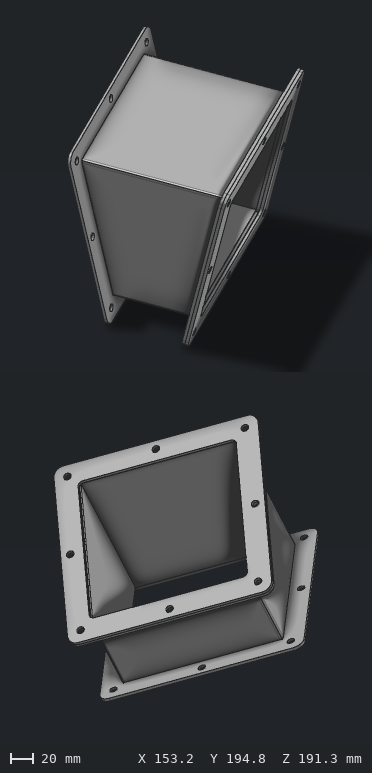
import cadquery as cq
import math

overall_width = 194.8
flange_offset = 1.0
inner_span = 106.3
tilt = math.radians(11.25)

plate_size = overall_width - flange_offset
plate_corner = 10.0
plate_thickness = 3.1
flange_opening_width = 150.8
flange_opening_height = 154.5
gasket_opening_size = 150.0
gasket_opening_corner = 5.0

hole_diameter = 6.8
corner_hole_reach = 84.1
side_hole_reach = 87.6

duct_inner = 150.0
wall = 1.4
duct_outer = duct_inner + 2 * wall
duct_corner = 2.7
duct_lift = 0.5

left_y = flange_offset / 2
right_y = -flange_offset / 2


def plate_plane(y, side, layer=0):
    """Base plane of a tilted plate, its normal outward: side -1 is left, +1 right; layers stack outward."""
    depth = layer * plate_thickness
    return cq.Plane(
        origin=(side * (inner_span / 2 + depth * math.cos(tilt)), y, -depth * math.sin(tilt)),
        xDir=(0, side, 0),
        normal=(side * math.cos(tilt), 0, -math.sin(tilt)),
    )


def plate_block(plane, width, height, corner=0.0):
    """Rectangular slab of plate thickness, with its four corners rounded if a radius is given."""
    block = cq.Workplane(plane).rect(width, height).extrude(plate_thickness)
    if corner:
        block = block.edges(cq.selectors.ParallelDirSelector(plane.zDir)).fillet(corner)
    return block


def bolt_holes(plane):
    """Cutter for the ring of eight bolt holes: four at the corners and four at mid side."""
    centres = []
    for side in (-1, 1):
        centres.append((side * corner_hole_reach, corner_hole_reach))
        centres.append((side * corner_hole_reach, -corner_hole_reach))
        centres.append((side * side_hole_reach, 0))
        centres.append((0, side * side_hole_reach))
    return cq.Workplane(plane).pushPoints(centres).circle(hole_diameter / 2).extrude(plate_thickness)


def make_plate(plane, opening_width, opening_height, opening_corner=0.0):
    """Square frame with rounded outer corners, a central opening and bolt holes."""
    plate = plate_block(plane, plate_size, plate_size, plate_corner)
    opening = plate_block(plane, opening_width, opening_height, opening_corner)
    return plate.cut(opening).cut(bolt_holes(plane))


def duct_prism(size):
    """Solid of square cross-section whose two ends lie on the flange inner faces."""
    bottom = duct_lift - size / 2
    top = duct_lift + size / 2
    bottom_x = inner_span / 2 + bottom * math.tan(tilt)
    top_x = inner_span / 2 + top * math.tan(tilt)
    return (
        cq.Workplane("XZ", origin=(0, left_y, 0))
        .polyline([(-bottom_x, bottom), (bottom_x, bottom), (top_x, top), (-top_x, top)])
        .close()
        .extrude(size / 2, both=True)
    )


def make_duct():
    """Tapered square tube with rounded long outer edges and sharp inner ones."""
    return duct_prism(duct_outer).edges("|X").fillet(duct_corner).cut(duct_prism(duct_inner))


left_flange = make_plate(plate_plane(left_y, -1), flange_opening_width, flange_opening_height)
right_flange = make_plate(plate_plane(right_y, 1), flange_opening_width, flange_opening_height)
gasket = make_plate(
    plate_plane(right_y, 1, layer=1), gasket_opening_size, gasket_opening_size, gasket_opening_corner
)
duct = make_duct()

result = cq.Compound.makeCompound([left_flange.val(), right_flange.val(), gasket.val(), duct.val()])